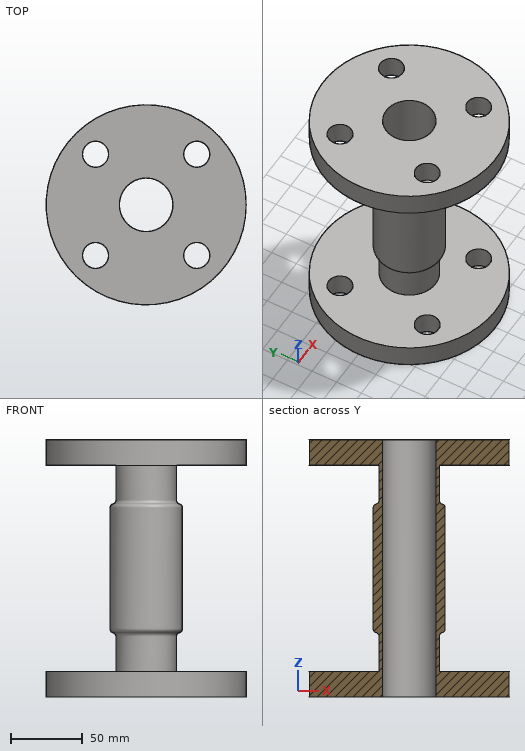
import cadquery as cq

total_length = 180.0
flange_diameter = 140.0
flange_thickness = 18.0
bore_diameter = 37.3

pipe_diameter = 42.5
sleeve_diameter = 50.8
sleeve_length = 84.6
shoulder_length = 5.4

bolt_circle_diameter = 100.0
bolt_hole_diameter = 18.0
bolt_hole_count = 4
first_bolt_angle = 45.0

half_length = total_length / 2


def centred_cylinder(diameter):
    """Upright cylinder on the part axis, as long as the part."""
    return cq.Workplane("XY").circle(diameter / 2).extrude(half_length, both=True)


def flange(bottom):
    """Plain round flange whose lower face is at height `bottom`."""
    return (
        cq.Workplane("XY")
        .workplane(offset=bottom)
        .circle(flange_diameter / 2)
        .extrude(flange_thickness)
    )


def sleeve():
    """Turned sleeve with a rounded shoulder at each end.

    Each shoulder is an S-curve of two equal arcs that meet halfway: tangent to
    the sleeve wall at one end and to the pipe wall at the other.
    """
    pipe_radius = pipe_diameter / 2
    sleeve_radius = sleeve_diameter / 2
    straight_end = sleeve_length / 2
    shoulder_end = straight_end + shoulder_length
    middle_radius = (pipe_radius + sleeve_radius) / 2
    middle_height = straight_end + shoulder_length / 2

    step = sleeve_radius - middle_radius
    rise = shoulder_length / 2
    arc_radius = (step**2 + rise**2) / (2 * step)

    profile = (
        cq.Workplane("XZ")
        .moveTo(0, -shoulder_end)
        .lineTo(pipe_radius, -shoulder_end)
        .radiusArc((middle_radius, -middle_height), arc_radius)
        .radiusArc((sleeve_radius, -straight_end), -arc_radius)
        .lineTo(sleeve_radius, straight_end)
        .radiusArc((middle_radius, middle_height), -arc_radius)
        .radiusArc((pipe_radius, shoulder_end), arc_radius)
        .lineTo(0, shoulder_end)
        .close()
    )
    return profile.revolve(360, (0, 0, 0), (0, 1, 0))


def bolt_holes():
    """Bolt holes in line through both flanges."""
    return (
        cq.Workplane("XY")
        .polarArray(bolt_circle_diameter / 2, first_bolt_angle, 360, bolt_hole_count)
        .circle(bolt_hole_diameter / 2)
        .extrude(half_length, both=True)
    )


body = centred_cylinder(pipe_diameter).union(sleeve())
for flange_bottom in (-half_length, half_length - flange_thickness):
    body = body.union(flange(flange_bottom))

result = body.cut(centred_cylinder(bore_diameter)).cut(bolt_holes())